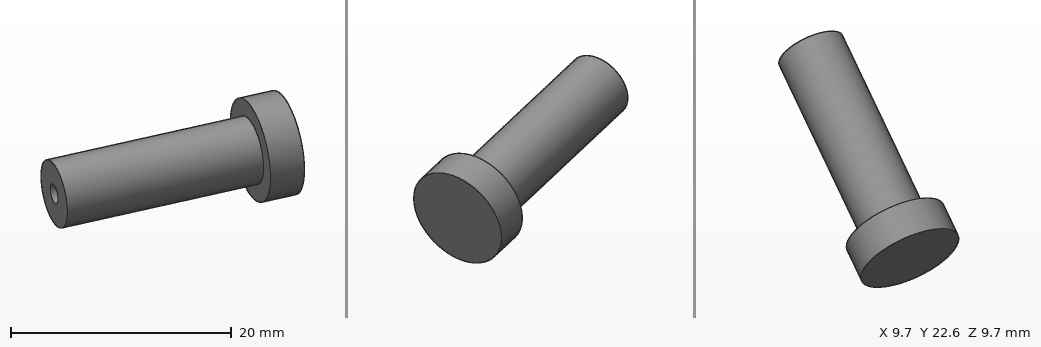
import cadquery as cq

total_length = 22.55
head_diameter = 9.7
head_thickness = 3.34
shank_diameter = 6.35
hole_diameter = 1.85
hole_depth = 2 * hole_diameter

shank_length = total_length - head_thickness

shank = cq.Workplane("XZ").circle(shank_diameter / 2).extrude(-shank_length)

head = (
    cq.Workplane("XZ", origin=(0, shank_length, 0))
    .circle(head_diameter / 2)
    .extrude(-head_thickness)
)

hole = cq.Workplane("XZ").circle(hole_diameter / 2).extrude(-hole_depth)

result = shank.union(head).cut(hole)